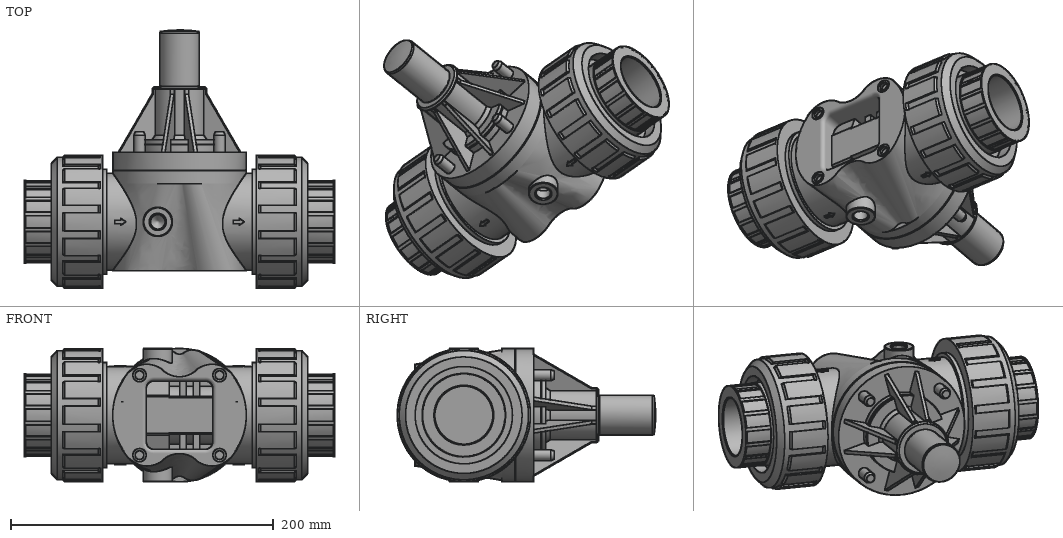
import cadquery as cq
import math


flange_radius = 101.5 / 2
plate_y = -37.2
neck_y = 29.0
pipe_radius = 37.0
collar_radius = 80.1 / 2
collar_end_x = 55.2

joint_y = 39.4
joint_width = 0.5
joint_depth = 0.5
flange_top_y = 53.0
barrel_radius = 39.4 / 2
barrel_foot_y = 65.8
foot_radius = 22.0
foot_y = 62.5
disc_radius = 30.6
disc_groove_y = 59.2
disc_groove_width = 0.7
disc_groove_depth = 1.0
cap_radius = 20.7
cap_y = 100.6
cap_top_y = 102.5
cap_chamfer = 1.5
knob_radius = 30.5 / 2
knob_neck_radius = 14.1
knob_y = 103.2
knob_shoulder_y = 143.3
knob_rim_y = 144.7
knob_rim_radius = 14.5
knob_top_y = 146.0

rib_angles = [side + offset for side in (0, 90, 180, 270) for offset in (-15, 15)]
rib_width = 2.8
rib_top_radius = 21.2
rib_bottom_radius = 47.5
rib_shoulder_y = 97.0

bolt_offset = 30.5
bolt_radius = 8.5 / 2
bolt_tip_y = 68.5
bolt_tip_radius = 3.0
bolt_bevel_length = 2.5
bolt_hole_diameter = 6.5
bolt_recess_diameter = 10.1
bolt_recess_depth = 0.7
bolt_hole_depth = 3.0

port_x = -16.5
port_radius = 22.2 / 2
port_top_z = 50.7
port_bore_radius = 11.0 / 2
port_chamfer = 0.5
port_bore_depth = 9.5
port_bore_chamfer = 1.0

window_length = 50.5
window_height = 51.9
window_corner = 5.7
window_rounding = 3.0
window_floor_y = 0
bar_y = -25.7
bar_half_height = 13.2
bar_root_half_height = 14.4
wedge_half_height = 14.0
wedge_bevel = 1.5
step_x = -7.8
duct_radius = 22.2
wedge_end_y = -20.3
web_y = -17.5
web_width = 5.0
web_starts = (0, 10.5)

nut_pads = 16
nut_inner_x = 58.5
nut_outer_x = 97.5
nut_rim_x = 92.9
nut_end_radius = 44.3
nut_core_radius = 98.3 / 2
pad_radius = 50.7
pad_root_depth = 2.4
pad_outer_x = 88.6
pad_bevel = 1.5
gap_inner_x = 60.3
gap_width = 6.0
nut_bore_radius = 74.0 / 2
nut_recess_depth = 9.5

socket_end_x = 117.9
socket_radius = 63.0 / 2
socket_core_radius = 61.0 / 2
socket_ribs = 16
socket_rib_width = 2.8
socket_rim_width = 1.0
socket_bore_radius = 44.0 / 2
socket_bore_depth = 37.7
socket_bore_chamfer = 0.7
socket_collar_radius = 31.8

arrow_starts = (-49.3, 40.8)
arrow_length = 8.5
arrow_head_length = 3.8
arrow_head_width = 5.2
arrow_shaft_width = 2.5
arrow_top_z = 37.7

overshoot = 2.4


def turned_about_y(points):
    """Solid of revolution about Y from (radius, y) points."""
    return cq.Workplane("XY").polyline(points).close().revolve(360, (0, 0, 0), (0, 1, 0))


def turned_about_x(points):
    """Solid of revolution about X from (x, radius) points."""
    return cq.Workplane("XY").polyline(points).close().revolve(360, (0, 0, 0), (1, 0, 0))


def facing_minus_y(y):
    """Workplane at the given y whose local axes are X and Z and whose normal is -Y."""
    return cq.Workplane("XZ", origin=(0, y, 0))


def waisted_outline(y, shoulder_x, crest, flank, waist_z):
    """Circle of the flange radius with a waist pinched in on its +Z and -Z sides.

    The round sides end at shoulder_x; a lobe through crest leads on to flank, where the waist starts.
    """
    shoulder_z = math.sqrt(flange_radius**2 - shoulder_x**2)
    crest_x, crest_z = crest
    flank_x, flank_z = flank
    return (
        facing_minus_y(y)
        .moveTo(shoulder_x, -shoulder_z)
        .threePointArc((flange_radius, 0), (shoulder_x, shoulder_z))
        .threePointArc((crest_x, crest_z), (flank_x, flank_z))
        .threePointArc((0, waist_z), (-flank_x, flank_z))
        .threePointArc((-crest_x, crest_z), (-shoulder_x, shoulder_z))
        .threePointArc((-flange_radius, 0), (-shoulder_x, -shoulder_z))
        .threePointArc((-crest_x, -crest_z), (-flank_x, -flank_z))
        .threePointArc((0, -waist_z), (flank_x, -flank_z))
        .threePointArc((crest_x, -crest_z), (shoulder_x, -shoulder_z))
        .close()
        .val()
    )


def make_body():
    plate = waisted_outline(plate_y, 39.4, (25.0, 38.7), (13.7, 35.1), 29.2)
    neck = waisted_outline(neck_y, 16.5, (8.5, 49.5), (2.5, 47.0), 46.5)
    body = cq.Workplane(cq.Solid.makeLoft([plate, neck], True))
    pipe = cq.Workplane("YZ", origin=(-nut_inner_x, 0, 0)).circle(pipe_radius).extrude(2 * nut_inner_x)
    return body.union(pipe)


def make_bonnet():
    groove_bottom_y = disc_groove_y - disc_groove_width
    return turned_about_y(
        [
            (0, neck_y),
            (flange_radius, neck_y),
            (flange_radius, joint_y - joint_width),
            (flange_radius - joint_depth, joint_y - joint_width),
            (flange_radius - joint_depth, joint_y),
            (flange_radius, joint_y),
            (flange_radius, flange_top_y),
            (disc_radius, flange_top_y),
            (disc_radius, groove_bottom_y),
            (disc_radius - disc_groove_depth, groove_bottom_y),
            (disc_radius - disc_groove_depth, disc_groove_y),
            (disc_radius, disc_groove_y),
            (disc_radius, foot_y),
            (foot_radius, foot_y),
            (barrel_radius, barrel_foot_y),
            (barrel_radius, cap_y),
            (cap_radius, cap_y),
            (cap_radius, cap_top_y - cap_chamfer),
            (cap_radius - cap_chamfer, cap_top_y),
            (knob_neck_radius, cap_top_y),
            (knob_neck_radius, knob_y),
            (knob_radius, knob_y),
            (knob_radius, knob_shoulder_y),
            (knob_rim_radius, knob_rim_y),
            (0, knob_rim_y),
        ]
    )


def make_knob_crown():
    """Shallow dome closing the end of the knob."""
    rise = knob_top_y - knob_rim_y
    dome_radius = (knob_rim_radius**2 + rise**2) / (2 * rise)
    return (
        cq.Workplane("XY")
        .moveTo(0, knob_rim_y)
        .lineTo(knob_rim_radius, knob_rim_y)
        .radiusArc((0, knob_top_y), -dome_radius)
        .close()
        .revolve(360, (0, 0, 0), (0, 1, 0))
    )


def make_bonnet_rib(angle):
    return (
        cq.Workplane("XY")
        .polyline(
            [
                (0, flange_top_y),
                (rib_bottom_radius, flange_top_y),
                (rib_top_radius, rib_shoulder_y),
                (rib_top_radius, cap_y),
                (0, cap_y),
            ]
        )
        .close()
        .extrude(rib_width / 2, both=True)
        .rotate((0, 0, 0), (0, 1, 0), angle)
    )


def make_bolts():
    bolt = turned_about_y(
        [
            (0, flange_top_y),
            (bolt_radius, flange_top_y),
            (bolt_radius, bolt_tip_y - bolt_bevel_length),
            (bolt_tip_radius, bolt_tip_y),
            (0, bolt_tip_y),
        ]
    )
    bolts = cq.Workplane("XY")
    for side_x in (-1, 1):
        for side_z in (-1, 1):
            bolts = bolts.add(bolt.translate((side_x * bolt_offset, 0, side_z * bolt_offset)))
    return bolts.combine()


def make_port():
    root_z = window_height / 2
    return (
        cq.Workplane("XY", origin=(port_x, 0, root_z))
        .circle(port_radius)
        .extrude(port_top_z - root_z)
        .faces(">Z")
        .chamfer(port_chamfer)
    )


def make_port_bore():
    """Blind bore with a chamfered mouth and a 90 degree drill point."""
    floor_z = port_top_z - port_bore_depth
    return (
        cq.Workplane("XZ")
        .polyline(
            [
                (0, port_top_z),
                (port_bore_radius + port_bore_chamfer, port_top_z),
                (port_bore_radius, port_top_z - port_bore_chamfer),
                (port_bore_radius, floor_z),
                (0, floor_z - port_bore_radius),
            ]
        )
        .close()
        .revolve(360, (0, 0, 0), (0, 1, 0))
        .translate((port_x, 0, 0))
    )


def cut_window(body):
    """Sink the rounded-edged pocket of the window into the bottom plate."""
    pocket = (
        facing_minus_y(window_floor_y)
        .rect(window_length, window_height)
        .extrude(window_floor_y - plate_y)
        .edges("|Y")
        .fillet(window_corner)
    )
    opened = body.cut(pocket)
    mouth = opened.faces("<Y").val().innerWires()[0]
    return opened.newObject(mouth.Edges()).fillet(window_rounding)


def make_window_core():
    """Bar, duct, wedge and webs that stand in the window pocket."""
    duct_length = window_length / 2 - step_x
    duct = cq.Workplane("YZ", origin=(step_x, 0, 0)).circle(duct_radius).extrude(duct_length)
    wedge = (
        cq.Workplane("YZ", origin=(-window_length / 2, 0, 0))
        .polyline(
            [
                (0, -window_height / 2),
                (wedge_end_y, -window_height / 2),
                (bar_y + wedge_bevel, -wedge_half_height - wedge_bevel),
                (bar_y, -wedge_half_height),
                (bar_y, wedge_half_height),
                (bar_y + wedge_bevel, wedge_half_height + wedge_bevel),
                (wedge_end_y, window_height / 2),
                (0, window_height / 2),
            ]
        )
        .close()
        .extrude(step_x + window_length / 2)
    )
    bar = (
        cq.Workplane("YZ", origin=(step_x, 0, 0))
        .polyline(
            [
                (0, -bar_root_half_height),
                (web_y, -bar_root_half_height),
                (bar_y, -bar_half_height),
                (bar_y, bar_half_height),
                (web_y, bar_root_half_height),
                (0, bar_root_half_height),
            ]
        )
        .close()
        .extrude(duct_length)
    )
    core = bar.union(duct).union(wedge)
    for start in web_starts:
        web = cq.Workplane("XY").box(web_width, -web_y, window_height)
        core = core.union(web.translate((start + web_width / 2, web_y / 2, 0)))
    return core


def make_nut():
    """Union nut on the +X side: a collared core and a ring of raised grip pads."""
    core = turned_about_x(
        [
            (collar_end_x, 0),
            (collar_end_x, collar_radius),
            (nut_inner_x, collar_radius),
            (nut_inner_x, nut_core_radius),
            (nut_rim_x, nut_core_radius),
            (nut_outer_x, nut_end_radius),
            (nut_outer_x, nut_bore_radius),
            (nut_outer_x - nut_recess_depth, nut_bore_radius),
            (nut_outer_x - nut_recess_depth, 0),
        ]
    )
    pad_root_radius = nut_core_radius - pad_root_depth
    pads = turned_about_x(
        [
            (nut_inner_x, pad_root_radius),
            (nut_inner_x, pad_radius),
            (pad_outer_x - pad_bevel, pad_radius),
            (pad_outer_x, nut_core_radius),
            (pad_outer_x, pad_root_radius),
        ]
    )
    gap = (
        cq.Workplane("XZ")
        .polyline(
            [
                (nut_outer_x, pad_root_radius),
                (gap_inner_x + pad_bevel, pad_root_radius),
                (gap_inner_x + pad_bevel, nut_core_radius),
                (gap_inner_x, pad_radius),
                (gap_inner_x, pad_radius + overshoot),
                (nut_outer_x, pad_radius + overshoot),
            ]
        )
        .close()
        .extrude(gap_width / 2, both=True)
    )
    pitch = 360 / nut_pads
    for index in range(nut_pads):
        pads = pads.cut(gap.rotate((0, 0, 0), (1, 0, 0), (index + 0.5) * pitch))
    return core.union(pads)


def make_socket():
    """Ribbed pipe socket on the +X side, with a plain collar inside the nut."""
    root_x = nut_outer_x - nut_recess_depth
    length = socket_end_x - root_x
    outside = cq.Workplane("YZ", origin=(root_x, 0, 0)).circle(socket_radius).extrude(length)
    relief_length = socket_end_x - socket_rim_width - nut_outer_x
    relief = (
        cq.Workplane("YZ", origin=(nut_outer_x, 0, 0))
        .circle(socket_radius + overshoot)
        .circle(socket_core_radius)
        .extrude(relief_length)
    )
    rib_height = socket_radius + 2 * overshoot
    rib = cq.Workplane("XY").box(relief_length, socket_rib_width, rib_height)
    rib = rib.translate((nut_outer_x + relief_length / 2, 0, rib_height / 2))
    pitch = 360 / socket_ribs
    for index in range(socket_ribs):
        relief = relief.cut(rib.rotate((0, 0, 0), (1, 0, 0), (index + 0.5) * pitch))
    collar = cq.Workplane("YZ", origin=(root_x, 0, 0)).circle(socket_collar_radius).extrude(nut_recess_depth)
    return outside.cut(relief).union(collar)


def make_socket_bore():
    floor_x = socket_end_x - socket_bore_depth
    return turned_about_x(
        [
            (floor_x, 0),
            (floor_x, socket_bore_radius),
            (socket_end_x - socket_bore_chamfer, socket_bore_radius),
            (socket_end_x, socket_bore_radius + socket_bore_chamfer),
            (socket_end_x, 0),
        ]
    )


def make_arrow(start):
    tip = start + arrow_length
    head = tip - arrow_head_length
    return (
        cq.Workplane("XY")
        .polyline(
            [
                (start, -arrow_shaft_width / 2),
                (head, -arrow_shaft_width / 2),
                (head, -arrow_head_width / 2),
                (tip, 0),
                (head, arrow_head_width / 2),
                (head, arrow_shaft_width / 2),
                (start, arrow_shaft_width / 2),
            ]
        )
        .close()
        .extrude(arrow_top_z)
    )


part = cut_window(make_body()).union(make_window_core())
part = part.union(make_bonnet()).union(make_knob_crown()).union(make_bolts())
for rib_angle in rib_angles:
    part = part.union(make_bonnet_rib(rib_angle))

port = make_port()
part = part.union(port).union(port.mirror("XY"))
for arrow_start in arrow_starts:
    arrow = make_arrow(arrow_start)
    part = part.union(arrow).union(arrow.mirror("XY"))

end_fitting = make_nut().union(make_socket())
part = part.union(end_fitting).union(end_fitting.mirror("YZ"))

port_bore = make_port_bore()
part = part.cut(port_bore).cut(port_bore.mirror("XY"))

socket_bore = make_socket_bore()
part = part.cut(socket_bore).cut(socket_bore.mirror("YZ"))

result = (
    part.copyWorkplane(facing_minus_y(plate_y))
    .rect(2 * bolt_offset, 2 * bolt_offset, forConstruction=True)
    .vertices()
    .cboreHole(bolt_hole_diameter, bolt_recess_diameter, bolt_recess_depth, bolt_hole_depth)
)